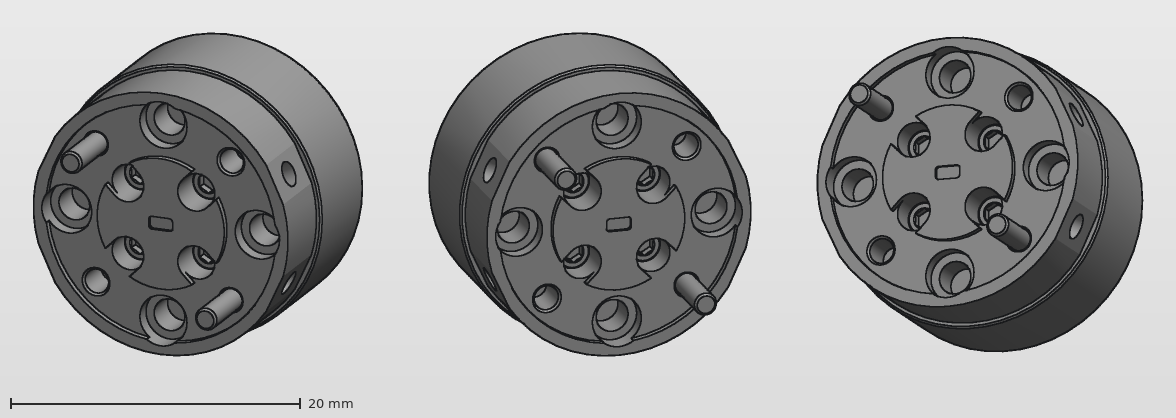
import cadquery as cq
import math

body_diameter = 19.81
body_length = 7.43
body_chamfer = 0.14
flange_diameter = 19.05
flange_length = 5.07

recess_depth = 0.5
recess_diameter = 17.23
boss_diameter = 9.5

waveguide_width = 1.78
waveguide_height = 0.93
waveguide_corner = 0.25
waveguide_depth = 0.25

bolt_circle_radius = 7.13
counterbore_diameter = 3.53
counterbore_depth = 1.58
bolt_hole_diameter = 2.3
bolt_hole_depth = 3.96

pin_diameter = 1.58
pin_reach = 4.05
pin_chamfer = 0.15
pin_seat_diameter = 1.82

dowel_hole_diameter = 1.75
dowel_hole_depth = 2.97
dowel_countersink = 0.15

screw_offset = 2.55
screw_hole_diameter = 2.55
screw_hole_depth = 3.96
screw_head_diameter = 2.38
screw_head_height = 1.58
screw_head_chamfer = 0.1
socket_across_flats = 1.3
socket_mouth_diameter = 1.5
socket_depth = 0.8

flat_angle = 25.0
flat_distance = 9.4
set_screw_diameter = 1.78
set_screw_depth = 4.35

flange_front = -flange_length
floor_y = flange_front + recess_depth
screw_circle_radius = screw_offset * math.sqrt(2)
diagonals = (45, 135, 225, 315)


def polar(radius, angle):
    """X, Z position at a radius and angle around the part axis."""
    return radius * math.cos(math.radians(angle)), radius * math.sin(math.radians(angle))


def plane_at(y, x=0.0, z=0.0):
    """Work plane facing -Y, with local x along X and local y along Z."""
    return cq.Workplane("XZ", origin=(x, y, z))


def cylinder(diameter, y_start, y_end, place=(0.0, 0.0)):
    """Cylinder along Y between two Y positions, y_start being nearer the front."""
    x, z = place
    return plane_at(y_start, x, z).circle(diameter / 2).extrude(-(y_end - y_start))


def base():
    body = cylinder(body_diameter, 0, body_length).edges().chamfer(body_chamfer)
    return body.union(cylinder(flange_diameter, flange_front, 0))


def face_recess():
    """Ring-shaped recess with slots running inward to the screw holes, notching the boss."""
    ring = cylinder(recess_diameter, flange_front, floor_y).cut(
        cylinder(boss_diameter, flange_front, floor_y)
    )
    notch_end = (boss_diameter + recess_diameter) / 4
    notch_length = notch_end - screw_circle_radius
    for angle in diagonals:
        notch = (
            cq.Workplane("XY")
            .box(notch_length, recess_depth, screw_hole_diameter, centered=(False, False, True))
            .translate((screw_circle_radius, flange_front, 0))
            .rotate((0, 0, 0), (0, 1, 0), -angle)
        )
        ring = ring.union(notch)
    return ring


def waveguide():
    return (
        plane_at(flange_front)
        .rect(waveguide_width, waveguide_height)
        .extrude(-waveguide_depth)
        .edges("|Y")
        .fillet(waveguide_corner)
    )


def counterbored_hole(place):
    bore = cylinder(counterbore_diameter, flange_front, flange_front + counterbore_depth, place)
    return bore.union(cylinder(bolt_hole_diameter, flange_front, flange_front + bolt_hole_depth, place))


def countersink(mouth_diameter, inner_diameter, y, place):
    """45 degree cone that narrows inward from a mouth at the given Y."""
    x, z = place
    depth = (mouth_diameter - inner_diameter) / 2
    profile = [(0, 0), (mouth_diameter / 2, 0), (inner_diameter / 2, depth), (0, depth)]
    return (
        cq.Workplane("XY")
        .polyline(profile)
        .close()
        .revolve(360, (0, 0, 0), (0, 1, 0))
        .translate((x, y, z))
    )


def dowel_hole(place):
    hole = cylinder(dowel_hole_diameter, floor_y, floor_y + dowel_hole_depth, place)
    mouth_diameter = dowel_hole_diameter + 2 * dowel_countersink
    return hole.union(countersink(mouth_diameter, dowel_hole_diameter, floor_y, place))


def dowel_pin(place):
    pin = cylinder(pin_diameter, flange_front - pin_reach, floor_y + dowel_hole_depth, place)
    return pin.faces("<Y").chamfer(pin_chamfer)


def screw_hole(place):
    return cylinder(screw_hole_diameter, flange_front, flange_front + screw_hole_depth, place)


def screw_head(place):
    hole_bottom = flange_front + screw_hole_depth
    head_front = hole_bottom - screw_head_height
    head = cylinder(screw_head_diameter, head_front, hole_bottom, place)
    head = head.faces("<Y").chamfer(screw_head_chamfer)
    socket_corners = socket_across_flats / math.cos(math.radians(30))
    socket = (
        plane_at(head_front, *place)
        .transformed(rotate=(0, 0, 30))
        .polygon(6, socket_corners)
        .extrude(-socket_depth)
    )
    socket_mouth = countersink(socket_mouth_diameter, socket_across_flats, head_front, place)
    return head.cut(socket).cut(socket_mouth)


def side_flat(angle):
    """Chordal cut on the flange together with its radial set-screw hole."""
    cut_thickness = body_diameter / 2 - flat_distance
    slab = (
        cq.Workplane("XY")
        .box(cut_thickness, flange_length, body_diameter, centered=(False, False, True))
        .translate((flat_distance, flange_front, 0))
    )
    hole = (
        cq.Workplane("YZ", origin=(flat_distance, flange_front / 2, 0))
        .circle(set_screw_diameter / 2)
        .extrude(-set_screw_depth)
    )
    return slab.union(hole).rotate((0, 0, 0), (0, 1, 0), -angle)


result = base().cut(face_recess()).cut(waveguide())
for angle in (0, 90, 180, 270):
    result = result.cut(counterbored_hole(polar(bolt_circle_radius, angle)))
for angle in (45, 225):
    result = result.cut(dowel_hole(polar(bolt_circle_radius, angle)))
for angle in (135, 315):
    pin_place = polar(bolt_circle_radius, angle)
    result = result.cut(countersink(pin_seat_diameter, pin_diameter, floor_y, pin_place))
    result = result.union(dowel_pin(pin_place))
for angle in diagonals:
    screw_place = polar(screw_circle_radius, angle)
    result = result.cut(screw_hole(screw_place)).union(screw_head(screw_place))
for angle in (flat_angle, 180 - flat_angle, 180 + flat_angle, -flat_angle):
    result = result.cut(side_flat(angle))